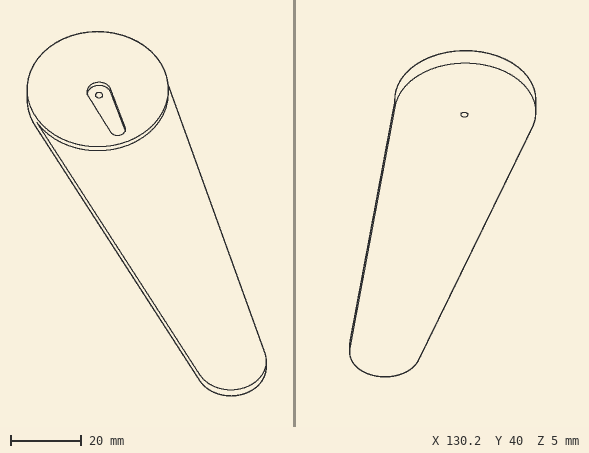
import cadquery as cq
import math

length = 130.2
disc_diameter = 40.0
disc_radius = disc_diameter / 2
tip_radius = 10.0
disc_height = 5.0
arm_thickness = 3.0

disc_edge_offset = 0.9
tip_edge_offset = 1.0

hole_diameter = 2.0
hole_x = 1.0
pocket_wide_radius = 3.4
pocket_narrow_radius = 2.2
pocket_end_x = 17.2
pocket_depth = 1.5

tip_x = length - disc_radius - tip_radius
pocket_narrow_x = pocket_end_x - pocket_narrow_radius


def tapered_outline(wide_x, wide_radius, wide_offset, narrow_x, narrow_radius, narrow_offset):
    """Outline of two round ends joined by straight edges, symmetric about X."""
    wide_edge_x = wide_x + wide_offset
    wide_edge_y = math.sqrt(wide_radius**2 - wide_offset**2)
    narrow_edge_x = narrow_x + narrow_offset
    narrow_edge_y = math.sqrt(narrow_radius**2 - narrow_offset**2)
    return (
        cq.Workplane("XY")
        .moveTo(wide_edge_x, wide_edge_y)
        .threePointArc((wide_x - wide_radius, 0), (wide_edge_x, -wide_edge_y))
        .lineTo(narrow_edge_x, -narrow_edge_y)
        .threePointArc((narrow_x + narrow_radius, 0), (narrow_edge_x, narrow_edge_y))
        .close()
    )


def arm_outline():
    return tapered_outline(0, disc_radius, disc_edge_offset, tip_x, tip_radius, tip_edge_offset)


def make_pocket():
    taper = (pocket_wide_radius - pocket_narrow_radius) / (pocket_narrow_x - hole_x)
    outline = tapered_outline(
        hole_x, pocket_wide_radius, pocket_wide_radius * taper,
        pocket_narrow_x, pocket_narrow_radius, pocket_narrow_radius * taper,
    )
    return outline.extrude(pocket_depth).translate((0, 0, disc_height - pocket_depth))


disc = cq.Workplane("XY").circle(disc_radius).extrude(disc_height)
disc = disc.intersect(arm_outline().extrude(disc_height))

arm = arm_outline().extrude(arm_thickness)
hole = cq.Workplane("XY").center(hole_x, 0).circle(hole_diameter / 2).extrude(disc_height)

result = arm.union(disc).cut(make_pocket()).cut(hole)